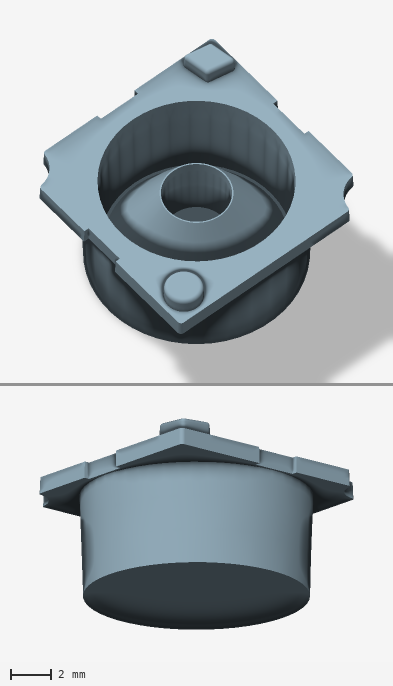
import cadquery as cq
import math

flange_size = 12.5
flange_top = 6.0
flange_thickness = 0.85
flange_bottom = flange_top - flange_thickness
corner_fillet = 0.2
corner_relief_radius = 1.5
notch_length = 2.4
notch_depth = 0.3

draft_angle = 2
draft_slope = math.tan(math.radians(draft_angle))
well_draft_angle = 1.5
well_draft_slope = math.tan(math.radians(well_draft_angle))

cup_top_radius = 5.8
cup_base_radius = cup_top_radius - flange_bottom * draft_slope

well_top_radius = 4.9
well_floor = 0.8
well_floor_radius = well_top_radius - (flange_top - well_floor) * well_draft_slope
cone_base_radius = 4.6
cone_top = 5.0
cone_top_radius = 1.83
bore_top_radius = 1.76
bore_floor = 1.5
bore_floor_radius = bore_top_radius - (cone_top - bore_floor) * well_draft_slope

peg_height = 0.8
peg_distance_from_axis = 7.0
peg_offset = peg_distance_from_axis / math.sqrt(2)
peg_fillet = 0.2
round_peg_radius = 1.0
diamond_side = 1.73
diamond_skew = 10


def make_notch():
    """Block that cuts a notch in the middle of the +X edge of the flange."""
    return (
        cq.Workplane("XY", origin=(flange_size / 2, 0, flange_bottom))
        .rect(2 * notch_depth, notch_length)
        .extrude(flange_thickness)
    )


def make_flange():
    """Drafted square plate with two scooped corners and three edge notches."""
    half = flange_size / 2
    plate = (
        cq.Workplane("XY", origin=(0, 0, flange_bottom))
        .rect(flange_size, flange_size)
        .extrude(flange_thickness, taper=draft_angle)
    )
    for side in (-1, 1):
        scoop = (
            cq.Workplane("XY", origin=(side * half, side * half, flange_bottom))
            .circle(corner_relief_radius)
            .extrude(flange_thickness, taper=-draft_angle)
        )
        plate = plate.cut(scoop)
    plate = plate.edges("not (<Z or >Z)").fillet(corner_fillet)

    for turn in (90, 180, 270):
        plate = plate.cut(make_notch().rotate((0, 0, 0), (0, 0, 1), turn))
    return plate


def revolve_about_z(half_section):
    """Turn a closed (X, Z) outline a full circle about the Z axis."""
    return cq.Workplane("XZ").polyline(half_section).close().revolve(360, (0, 0), (0, 1))


def make_cup():
    """Solid drafted body of the cup, up to the flange underside."""
    half_section = [
        (0, 0),
        (-cup_base_radius, 0),
        (-cup_top_radius, flange_bottom),
        (0, flange_bottom),
    ]
    return revolve_about_z(half_section)


def make_well():
    """Space removed from the cup: the annular well and the bore of its cone."""
    half_section = [
        (0, flange_top),
        (-well_top_radius, flange_top),
        (-well_floor_radius, well_floor),
        (-cone_base_radius, well_floor),
        (-cone_top_radius, cone_top),
        (-bore_top_radius, cone_top),
        (-bore_floor_radius, bore_floor),
        (0, bore_floor),
    ]
    return revolve_about_z(half_section)


def make_round_peg():
    """Drafted round peg with a rounded top edge."""
    return (
        cq.Workplane("XY", origin=(peg_offset, -peg_offset, flange_top))
        .circle(round_peg_radius)
        .extrude(peg_height, taper=draft_angle)
        .faces(">Z")
        .edges()
        .fillet(peg_fillet)
    )


def make_diamond_peg():
    """Drafted rhombic peg, longer from lower left to upper right, with rounded edges."""
    skew = math.radians(diamond_skew)
    long_step = diamond_side * math.cos(skew)
    short_step = diamond_side * math.sin(skew)
    reach = (long_step + short_step) / 2
    across = (long_step - short_step) / 2
    return (
        cq.Workplane("XY", origin=(-peg_offset, peg_offset, flange_top))
        .polyline([(-reach, -reach), (across, -across), (reach, reach), (-across, across)])
        .close()
        .extrude(peg_height, taper=draft_angle)
        .edges("not <Z")
        .fillet(peg_fillet)
    )


result = make_flange().union(make_cup()).cut(make_well())
result = result.union(make_round_peg()).union(make_diamond_peg())